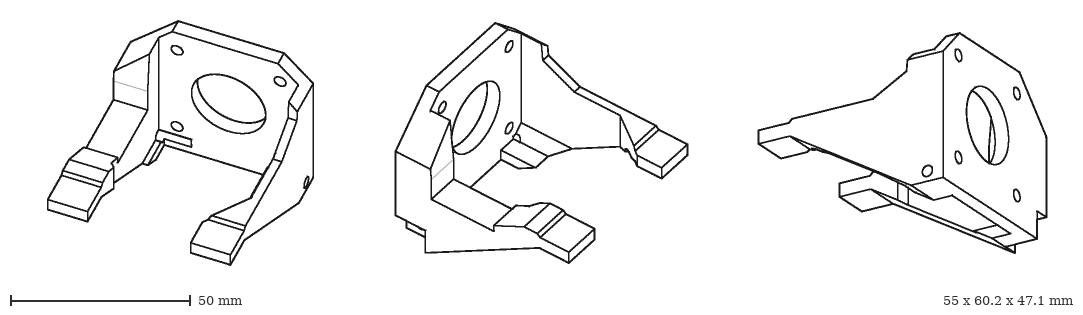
import cadquery as cq
import math

width = 55.0
height = 47.13
length = 60.22

plate_thickness = 4.4
left_corner_cut = 14.35
right_corner_cut = 8.8
motor_size = 42.0
motor_x = 31.32
motor_z = 24.63
pilot_diameter = 22.3
screw_spacing = 31.0
screw_diameter = 3.5

base_depth = 10.45
arm_top_z = 29.1
foot_width = 12.0
foot_top_z = 28.13
foot_bottom_z = 24.0
foot_bottom_depth = 50.0
foot_step_depth = 50.25
buttress_depth = 12.45
buttress_bend_z = 29.2
buttress_draft = 5.0
right_ramp_top_z = 35.0
right_ramp_end_depth = 22.9

notch_floor_z = 21.5
notch_end_depth = 34.1
notch_step_z = 23.6
notch_ramp_end_depth = 44.7

bay_depth = 38.8
bay_taper_depth = 51.7
bay_corner_chamfer = 3.5

side_hole_diameter = 3.3
side_hole_depth_from_back = 5.1
left_hole_z = 4.0
left_hole_end_x = 20.1
right_hole_z = 3.1
right_hole_length = 6.25

recess_inset = 5.0
recess_depth = 10.3
recess_height = 8.45

relief_diameter = 5.4
relief_x = 46.9
relief_z = 19.8

bay_left = motor_x - motor_size / 2
bay_right = motor_x + motor_size / 2
bay_floor_z = motor_z - motor_size / 2
opening_right = width - foot_width


def draft_depth(z):
    """Depth of the drafted buttress front at height z above the bend."""
    return buttress_depth - (z - buttress_bend_z) * math.tan(math.radians(buttress_draft))


def side_prism(points, x_start, x_end):
    """Extrude a (depth from the back face, z) outline along X."""
    outline = [(-depth, z) for depth, z in points]
    return cq.Workplane("YZ", origin=(x_start, 0, 0)).polyline(outline).close().extrude(x_end - x_start)


def hole_along_x(x_start, x_end, z):
    return (
        cq.Workplane("YZ", origin=(x_start, -side_hole_depth_from_back, z))
        .circle(side_hole_diameter / 2)
        .extrude(x_end - x_start)
    )


def hole_along_y(x, z, diameter, depth_start, depth_end):
    return (
        cq.Workplane("XZ", origin=(x, -depth_start, z))
        .circle(diameter / 2)
        .extrude(depth_end - depth_start)
    )


def arm(top_points, x_start, x_end):
    """Side arm: shared foot and sloped underside, with its own upper outline."""
    foot_step = foot_step_depth - (arm_top_z - foot_top_z)
    points = [
        (0, 0),
        (0, height),
        (draft_depth(height), height),
        *top_points,
        (foot_step, arm_top_z),
        (foot_step_depth, foot_top_z),
        (length, foot_top_z),
        (length, foot_bottom_z),
        (foot_bottom_depth, foot_bottom_z),
        (base_depth, 0),
    ]
    return side_prism(points, x_start, x_end)


def left_arm():
    top_points = [
        (buttress_depth, buttress_bend_z),
        (buttress_depth, notch_floor_z),
        (notch_end_depth, notch_floor_z),
        (notch_end_depth, notch_step_z),
        (notch_ramp_end_depth, arm_top_z),
    ]
    return arm(top_points, 0, foot_width)


def right_arm():
    top_points = [
        (draft_depth(right_ramp_top_z), right_ramp_top_z),
        (right_ramp_end_depth, arm_top_z),
    ]
    return arm(top_points, opening_right, width)


def front_outline():
    """Front silhouette with the two upper corners cut at 45 degrees, full length."""
    return (
        cq.Workplane("XZ")
        .polyline([
            (0, 0),
            (width, 0),
            (width, height - right_corner_cut),
            (width - right_corner_cut, height),
            (left_corner_cut, height),
            (0, height - left_corner_cut),
        ])
        .close()
        .extrude(length)
    )


def motor_bay():
    """Motor clearance: chamfered lower right edge, front end tapering in plan."""
    section = (
        cq.Workplane("XZ", origin=(0, -plate_thickness, 0))
        .polyline([
            (bay_left, bay_floor_z),
            (bay_right - bay_corner_chamfer, bay_floor_z),
            (bay_right, bay_floor_z + bay_corner_chamfer),
            (bay_right, height),
            (bay_left, height),
        ])
        .close()
        .extrude(length)
    )
    taper_inset = bay_right - opening_right
    plan = (
        cq.Workplane("XY")
        .polyline([
            (bay_left, 0),
            (bay_right, 0),
            (bay_right, -bay_depth),
            (opening_right, -bay_taper_depth),
            (bay_left + taper_inset, -bay_taper_depth),
            (bay_left, -bay_depth),
        ])
        .close()
        .extrude(height)
    )
    return section.intersect(plan)


def bracket():
    plate = cq.Workplane("XY").box(width, plate_thickness, height, centered=False)
    plate = plate.translate((0, -plate_thickness, 0))
    body = plate.union(left_arm()).union(right_arm()).intersect(front_outline())
    body = body.cut(motor_bay())

    body = body.cut(hole_along_y(motor_x, motor_z, pilot_diameter, 0, plate_thickness))
    for x_side in (-1, 1):
        for z_side in (-1, 1):
            x = motor_x + x_side * screw_spacing / 2
            z = motor_z + z_side * screw_spacing / 2
            body = body.cut(hole_along_y(x, z, screw_diameter, 0, plate_thickness))

    recess = cq.Workplane("XY").box(recess_inset, recess_depth, recess_height, centered=False)
    body = body.cut(recess.translate((0, -recess_depth, 0)))
    body = body.cut(hole_along_x(0, left_hole_end_x, left_hole_z))
    body = body.cut(hole_along_x(width - right_hole_length, width, right_hole_z))
    return body.cut(hole_along_y(relief_x, relief_z, relief_diameter, bay_depth, length))


result = bracket()